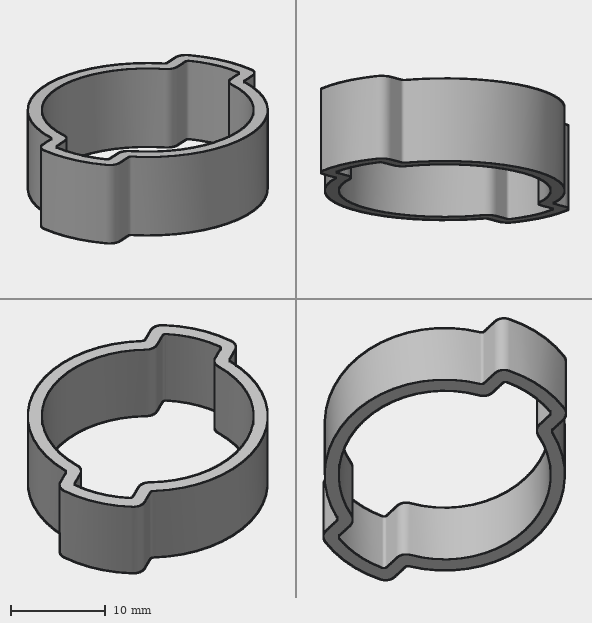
import cadquery as cq

total_length = 31.0
band_diameter = 25.3
band_width = 9.0
wall = 1.5
ear_width = 9.5
ear_crown_radius = 12.65
tight_radius = 0.37

wide_radius = 1.3


def ear_profile(width, tip, crown_radius):
    """Both ears as one strip along Y with arched ends."""
    half = width / 2
    shoulder = tip - crown_radius + (crown_radius**2 - half**2) ** 0.5
    return (
        cq.Workplane("XY")
        .moveTo(half, -shoulder)
        .lineTo(half, shoulder)
        .threePointArc((0, tip), (-half, shoulder))
        .lineTo(-half, -shoulder)
        .threePointArc((0, -tip), (half, -shoulder))
        .close()
    )


def eared_cylinder(inset, corner_radius, root_radius):
    """Solid bounded by the outer contour moved inward by inset."""
    radius = band_diameter / 2 - inset
    width = ear_width - 2 * inset
    tip = total_length / 2 - inset
    ears = ear_profile(width, tip, ear_crown_radius - inset).extrude(band_width)
    ears = ears.edges("|Z").fillet(corner_radius)
    body = cq.Workplane("XY").circle(radius).extrude(band_width).union(ears)
    root_y = (radius**2 - (width / 2) ** 2) ** 0.5
    for x in (-width / 2, width / 2):
        for y in (-root_y, root_y):
            root = cq.selectors.NearestToPointSelector((x, y, band_width / 2))
            body = body.edges(root).fillet(root_radius)
    return body


outside = eared_cylinder(0, corner_radius=wide_radius, root_radius=tight_radius)
inside = eared_cylinder(wall, corner_radius=tight_radius, root_radius=wide_radius)
result = outside.cut(inside)